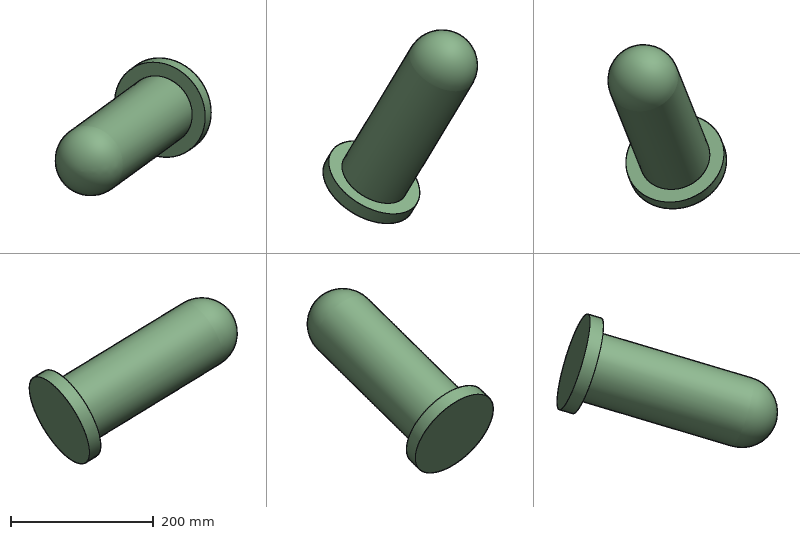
import cadquery as cq

total_length = 300.0
flange_diameter = 140.0
flange_thickness = 20.0
pin_diameter = 100.0

pin_radius = pin_diameter / 2
flange_radius = flange_diameter / 2
dome_start = pin_radius
flange_front = total_length - flange_thickness
dome_mid_offset = pin_radius * 0.5**0.5

profile = (
    cq.Workplane("XY")
    .moveTo(0, 0)
    .threePointArc((dome_mid_offset, dome_start - dome_mid_offset), (pin_radius, dome_start))
    .lineTo(pin_radius, flange_front)
    .lineTo(flange_radius, flange_front)
    .lineTo(flange_radius, total_length)
    .lineTo(0, total_length)
    .close()
)

result = profile.revolve(360, (0, 0, 0), (0, 1, 0))